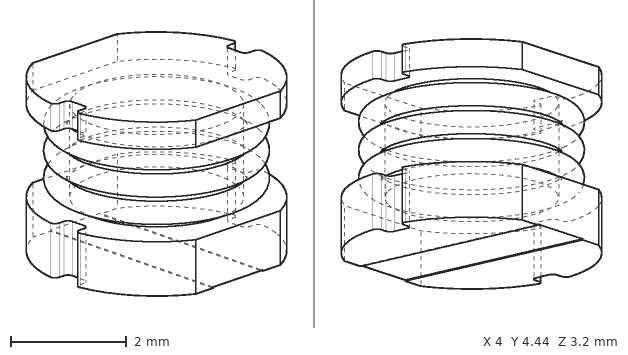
import cadquery as cq
import math

length = 4.44
width = 4.0
bottom_flange_height = 1.0
top_flange_height = bottom_flange_height / 2

notch_width = 0.497
notch_floor_y = 1.9
notch_fillet = 0.1

post_diameter = 3.0
post_height = 1.7

ring_count = 3
ring_outer_diameter = 3.9
wire_diameter = 0.4
ring_pitch = 0.5

channel_width = 1.2
channel_depth = 0.018

lip_center_x = notch_width / 2 + notch_fillet
lip_center_y = length / 2 - notch_fillet
rim_radius = math.hypot(lip_center_x, lip_center_y) + notch_fillet

post_bottom = bottom_flange_height
post_top = post_bottom + post_height
post_middle = (post_bottom + post_top) / 2
wire_radius = wire_diameter / 2
ring_radius = ring_outer_diameter / 2 - wire_radius


def make_flange(bottom, height):
    """Disc with flats at both X sides and a filleted notch at both Y ends."""
    disc = cq.Workplane("XY").circle(rim_radius).extrude(height)
    flats = cq.Workplane("XY").rect(width, 2 * rim_radius).extrude(height)
    flange = disc.intersect(flats)

    notch_depth = rim_radius - notch_floor_y
    notch_center_y = notch_floor_y + notch_depth / 2
    notches = (
        cq.Workplane("XY")
        .pushPoints([(0, -notch_center_y), (0, notch_center_y)])
        .rect(notch_width, notch_depth)
        .extrude(height)
    )
    flange = flange.cut(notches)

    notch_zone = cq.selectors.BoxSelector(
        (-notch_width, -length, -height), (notch_width, length, 2 * height)
    )
    flange = flange.edges("|Z").edges(notch_zone).fillet(notch_fillet)
    return flange.translate((0, 0, bottom))


def make_core():
    """Drum core: bottom flange, round post and top flange in one piece."""
    post = (
        cq.Workplane("XY")
        .workplane(offset=post_bottom)
        .circle(post_diameter / 2)
        .extrude(post_height)
    )
    bottom_flange = make_flange(0, bottom_flange_height)
    top_flange = make_flange(post_top, top_flange_height)
    channel = (
        cq.Workplane("XY")
        .rect(width, channel_width)
        .extrude(channel_depth)
    )
    return bottom_flange.union(post).union(top_flange).cut(channel)


def make_ring(center_height):
    """One closed turn of round wire around the post."""
    return cq.Solid.makeTorus(ring_radius, wire_radius, cq.Vector(0, 0, center_height))


core = make_core()

rings = []
for index in range(ring_count):
    steps_from_middle = index - (ring_count - 1) / 2
    rings.append(make_ring(post_middle + steps_from_middle * ring_pitch))

result = cq.Compound.makeCompound([core.val(), *rings])